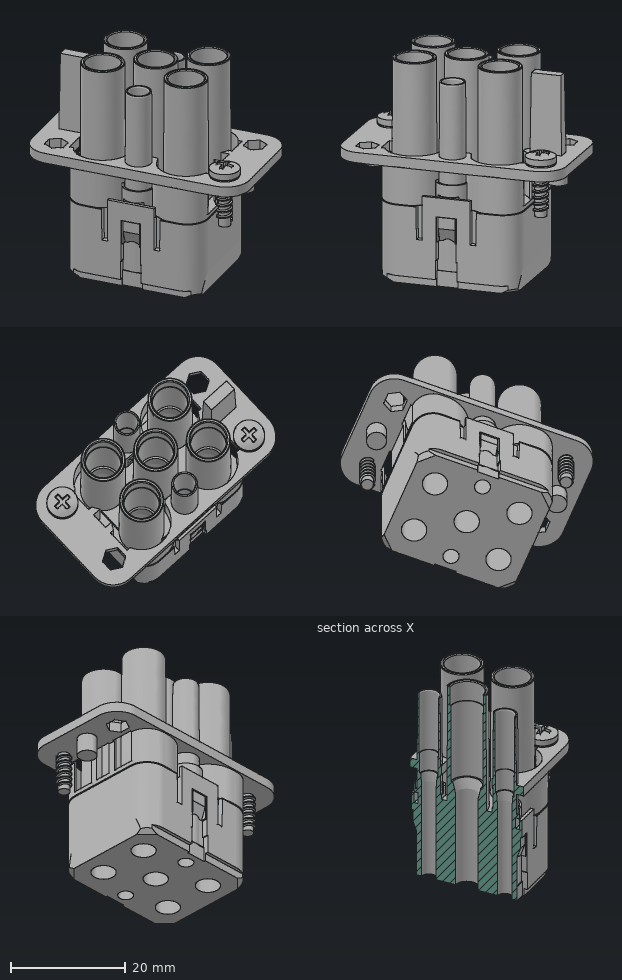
import cadquery as cq
import math

TOTAL_HEIGHT = 40.0
SEAM_Z = 14.55
CAVITY_FLOOR_Z = 15.4
PLATE_THICKNESS = 1.9
PLATE_TOP_Z = 23.4
PLATE_BOTTOM_Z = PLATE_TOP_Z - PLATE_THICKNESS

TUBE_X = 7.95
TUBE_Y = 4.95
PILOT_Y = 7.45

PLATE_LENGTH = 41.6
PLATE_WIDTH = 22.4
PLATE_CORNER_RADIUS = 9.0 / 2
OPENING_HALF_LENGTH = 13.35
OPENING_END_LENGTH = OPENING_HALF_LENGTH - TUBE_X
OPENING_END_X = (OPENING_HALF_LENGTH + TUBE_X) / 2
OPENING_WAIST_LENGTH = 21.4
OPENING_WAIST_WIDTH = 2 * TUBE_Y
LOBE_RADIUS = 5.15
END_NOTCH_WIDTH = 3.08
OPENING_FILLET = 0.85

TUBE_FOOT_RADIUS = 3.95
TUBE_TOP_RADIUS = 3.85
TUBE_ENTRY_RADIUS = 3.4
TUBE_ENTRY_HEIGHT = 0.15
TUBE_RIM_HEIGHT = 0.15
TUBE_RIM_INSET = 0.12
TUBE_BORE_RADIUS = 6.4 / 2
TUBE_STEP_RADIUS = 6.2 / 2
TUBE_SEAT_RADIUS = 5.5 / 2
TUBE_HOLE_RADIUS = 4.4 / 2
TUBE_STEP_Z = 36.03
TUBE_SEAT_Z = 20.8
TUBE_HOLE_Z = 18.7

PILOT_TOP_Z = 37.02
PILOT_FOOT_RADIUS = 2.37
PILOT_TOP_RADIUS = 2.3
PILOT_ENTRY_RADIUS = 3.9 / 2
PILOT_ENTRY_HEIGHT = 0.35
PILOT_RIM_HEIGHT = 0.35
PILOT_RIM_INSET = 0.1
PILOT_BORE_RADIUS = 3.7 / 2
PILOT_STEP_RADIUS = 3.5 / 2
PILOT_SEAT_RADIUS = 3.1 / 2
PILOT_HOLE_RADIUS = 2.8 / 2
PILOT_STEP_Z = 24.95
CUP_RADIUS = 2.95
CUP_INNER_RADIUS = 2.6
CUP_TOP_Z = 18.85
CUP_FLOOR_Z = 17.47

HOUSING_LENGTH = 26.12
HOUSING_WIDTH = 21.8
HOUSING_CORNER_RADIUS = 4.0
CORE_INSET = 2.2
CORE_TOP_Z = 16.65
SEAM_GROOVE = 0.12
SHELL_RADIUS = HOUSING_WIDTH / 2 - TUBE_Y
CORE_CORNER_RADIUS = 3.33
WINDOW_INNER_Y = 2.83
WINDOW_OUTER_Y = 7.07
WINDOW_WIDTH = WINDOW_OUTER_Y - WINDOW_INNER_Y
WINDOW_MID_Y = (WINDOW_OUTER_Y + WINDOW_INNER_Y) / 2
END_BEVEL_HEIGHT = 3.95
END_BEVEL_INSET = 0.6
CORNER_BEVEL_HEIGHT = 0.8
CORNER_BEVEL_INSET = 1.0
FOOT_RECESS_LENGTH = 22.65
FOOT_RECESS_HEIGHT = 1.5
FOOT_RECESS_DEPTH = 0.62

LATCH_HALF_WIDTH = 4.45
LATCH_TOP_Z = 16.5
LATCH_THICKNESS = 0.62
LATCH_RELIEF_TOP_Z = 16.65
LATCH_RELIEF_DEPTH = 1.25
LATCH_SLOT_FLOOR_Z = 8.5
LATCH_SLOT_DEPTH = 1.05
LATCH_SLOT_FLOOR_WIDTH = 1.05
LATCH_SLOT_TOP_WIDTH = 1.15
CHANNEL_WIDTH = 3.65
CHANNEL_TOP_Z = 13.0
CHANNEL_RAMP_TOP_Z = 10.8
CHANNEL_RAMP_BOTTOM_Z = 8.4
CHANNEL_RIM_DEPTH = 0.15
CHANNEL_UPPER_WIDTH = 3.1
CHANNEL_UPPER_DEPTH = 0.25
CHANNEL_DEPTH = 1.12
CHANNEL_FOOT_WIDTH = 3.95
CHANNEL_FOOT_Z = 5.0
CHANNEL_PAD_Z = 2.9
RIB_HALF_WIDTH = 1.0
RIB_STAND_OUT = 0.15
RIB_RADIUS = (RIB_HALF_WIDTH**2 + RIB_STAND_OUT**2) / (2 * RIB_STAND_OUT)
CHANNEL_PAD_DEPTH = CHANNEL_DEPTH - RIB_STAND_OUT

BLADE_X = -15.05
BLADE_LENGTH = 5.82
BLADE_WIDTH = 2.4
BLADE_TOP_Z = 38.02
BLADE_DRAFT_DEGREES = 0.7
PIN_X = 16.97
PIN_RADIUS = 3.5 / 2
PIN_BOTTOM_Z = 17.95

SCREW_X = 16.05
SCREW_Y = 6.65
HEAD_RADIUS = 5.5 / 2
HEAD_COLLAR_RADIUS = 2.6
HEAD_BOTTOM_Z = 23.65
HEAD_RIM_Z = 24.88
HEAD_TOP_Z = 25.65
SHANK_RADIUS = 2.15 / 2
SHANK_BOTTOM_Z = 13.85
THREAD_RADIUS = 2.8 / 2
THREAD_BOTTOM_Z = 14.9
THREAD_PITCH = 1.12
THREAD_ROOT_WIDTH = 0.65
THREAD_CREST_WIDTH = 0.2
THREAD_ROOT_OVERLAP = 0.12
CROSS_LENGTH = 3.05
CROSS_WIDTH = 0.7
CROSS_DEPTH = 1.1
HEX_ACROSS_CORNERS = 4.15

ENDS = (-1, 1)
TUBE_PLACES = [(0, 0)] + [(x * TUBE_X, y * TUBE_Y) for x in ENDS for y in ENDS]
PILOT_PLACES = [(0, y * PILOT_Y) for y in ENDS]
WINDOW_MIDS_Y = [y * WINDOW_MID_Y for y in ENDS]


def block(length, width, bottom, top, x=0, y=0):
    """Upright box centred on (x, y) between two levels."""
    return cq.Workplane("XY", origin=(x, y, bottom)).rect(length, width).extrude(top - bottom)


def disc(radius, bottom, top, x=0, y=0):
    """Upright cylinder between two levels."""
    return cq.Workplane("XY", origin=(x, y, bottom)).circle(radius).extrude(top - bottom)


def turned(profile, x=0, y=0):
    """Solid of revolution about the vertical through (x, y) from (radius, level) points."""
    return cq.Workplane("XZ").polyline(profile).close().revolve().translate((x, y, 0))


def combined(solids):
    """Union of a list of solids."""
    whole = solids[0]
    for solid in solids[1:]:
        whole = whole.union(solid)
    return whole


def clover_opening(bottom, top):
    """Clover shaped space around the five contact tubes, with notches towards the ends."""
    waist = block(OPENING_WAIST_LENGTH, OPENING_WAIST_WIDTH, bottom, top)
    waist = waist.edges("|Z").fillet(OPENING_FILLET)
    lobes = [disc(LOBE_RADIUS, bottom, top, x, y) for x, y in TUBE_PLACES[1:]]
    end_slots = [
        block(OPENING_END_LENGTH, WINDOW_WIDTH, bottom, top, x * OPENING_END_X, y)
        for x in ENDS
        for y in WINDOW_MIDS_Y
    ]
    notch = block(OPENING_END_LENGTH, END_NOTCH_WIDTH, bottom, top, OPENING_END_X)
    opening = combined([waist, notch] + lobes + end_slots)
    inner_corners = opening.edges("|Z").filter(lambda edge: abs(edge.Center().x) < LOBE_RADIUS)
    return inner_corners.fillet(OPENING_FILLET)


def flange_plate():
    """Rounded plate with the clover opening and two hexagonal holes."""
    plate = block(PLATE_LENGTH, PLATE_WIDTH, PLATE_BOTTOM_Z, PLATE_TOP_Z)
    plate = plate.edges("|Z").fillet(PLATE_CORNER_RADIUS).cut(clover_opening(PLATE_BOTTOM_Z, PLATE_TOP_Z))
    hexagon = (
        cq.Workplane("XY", origin=(0, 0, PLATE_BOTTOM_Z))
        .polygon(6, HEX_ACROSS_CORNERS)
        .extrude(PLATE_THICKNESS)
        .rotate((0, 0, 0), (0, 0, 1), 90)
    )
    for end in ENDS:
        plate = plate.cut(hexagon.translate((end * SCREW_X, end * SCREW_Y, 0)))
    return plate


def rounded_housing(bottom, top, inset=0):
    """Housing outline, optionally drawn in by an inset, between two levels."""
    outline = block(HOUSING_LENGTH - 2 * inset, HOUSING_WIDTH - 2 * inset, bottom, top)
    return outline.edges("|Z").fillet(HOUSING_CORNER_RADIUS - inset)


def side_bay():
    """Recess between two rounded shells of the upper housing, on the -Y side."""
    front = -HOUSING_WIDTH / 2
    edge_x = TUBE_X - SHELL_RADIUS
    return (
        cq.Workplane("XY", origin=(0, 0, SEAM_Z))
        .moveTo(-TUBE_X, front)
        .radiusArc((-edge_x, -TUBE_Y), -SHELL_RADIUS)
        .lineTo(edge_x, -TUBE_Y)
        .radiusArc((TUBE_X, front), -SHELL_RADIUS)
        .close()
        .extrude(PLATE_BOTTOM_Z - SEAM_Z)
    )


def both_sides(solid):
    """A solid together with its mirror image across the XZ plane."""
    return solid.union(solid.mirror("XZ"))


def upper_housing():
    """Shells around the contact tubes and the core between them, from the seam to the plate."""
    shell = rounded_housing(SEAM_Z, PLATE_BOTTOM_Z).cut(clover_opening(CAVITY_FLOOR_Z, PLATE_BOTTOM_Z))
    core_length = HOUSING_LENGTH - 2 * CORE_INSET
    core_width = HOUSING_WIDTH - 2 * CORE_INSET
    core = block(core_length, core_width, CAVITY_FLOOR_Z, CORE_TOP_Z)
    core = core.edges("|Z").fillet(CORE_CORNER_RADIUS)
    return shell.union(core).cut(both_sides(side_bay()))


def bevel(reach, inset, height, degrees):
    """Wedge that bevels the bottom edge whose outward direction is at the given angle."""
    return (
        cq.Workplane("XZ")
        .polyline([(reach - inset, 0), (reach, height), (2 * reach, height), (2 * reach, 0)])
        .close()
        .extrude(HOUSING_LENGTH, both=True)
        .rotate((0, 0, 0), (0, 0, 1), degrees)
    )


def lower_housing():
    """Solid below the seam, with the seam groove, bottom bevels and foot recesses."""
    body = rounded_housing(0, SEAM_Z)
    groove_bottom = SEAM_Z - SEAM_GROOVE
    body = body.cut(rounded_housing(groove_bottom, SEAM_Z).cut(
        rounded_housing(groove_bottom, SEAM_Z, SEAM_GROOVE)
    ))
    for degrees in (0, 180):
        body = body.cut(bevel(HOUSING_LENGTH / 2, END_BEVEL_INSET, END_BEVEL_HEIGHT, degrees))
    corner_x = HOUSING_LENGTH / 2 - HOUSING_CORNER_RADIUS
    corner_y = HOUSING_WIDTH / 2 - HOUSING_CORNER_RADIUS
    corner_reach = (corner_x + corner_y) / math.sqrt(2) + HOUSING_CORNER_RADIUS
    for degrees in (45, 135, 225, 315):
        body = body.cut(bevel(corner_reach, CORNER_BEVEL_INSET, CORNER_BEVEL_HEIGHT, degrees))
    recess = block(
        FOOT_RECESS_LENGTH, FOOT_RECESS_DEPTH, 0, FOOT_RECESS_HEIGHT,
        y=-HOUSING_WIDTH / 2 + FOOT_RECESS_DEPTH / 2,
    )
    return body.cut(both_sides(recess))


def latch_tongue():
    """Tongue that rises above the seam on the -Y side."""
    y = -HOUSING_WIDTH / 2 + LATCH_THICKNESS / 2
    return block(2 * LATCH_HALF_WIDTH, LATCH_THICKNESS, SEAM_Z - SEAM_GROOVE, LATCH_TOP_Z, y=y)


def latch_relief():
    """Clearance behind the free end of the tongue, on the -Y side."""
    y = -HOUSING_WIDTH / 2 + LATCH_RELIEF_DEPTH / 2
    return block(2 * CUP_RADIUS, LATCH_RELIEF_DEPTH, SEAM_Z, LATCH_RELIEF_TOP_Z, y=y)


def latch_cutouts():
    """Two slots beside the latch and the stepped channel in its middle, on the -Y side."""
    front = -HOUSING_WIDTH / 2
    slot = (
        cq.Workplane("XZ", origin=(0, front, 0))
        .moveTo(LATCH_HALF_WIDTH, LATCH_SLOT_FLOOR_Z)
        .lineTo(LATCH_HALF_WIDTH + LATCH_SLOT_FLOOR_WIDTH, LATCH_SLOT_FLOOR_Z)
        .lineTo(LATCH_HALF_WIDTH + LATCH_SLOT_TOP_WIDTH, SEAM_Z)
        .lineTo(LATCH_HALF_WIDTH, SEAM_Z)
        .close()
        .extrude(-LATCH_SLOT_DEPTH)
    )
    upper_channel = (
        cq.Workplane("YZ")
        .polyline([
            (front, CHANNEL_RAMP_BOTTOM_Z),
            (front, CHANNEL_TOP_Z),
            (front + CHANNEL_UPPER_DEPTH, CHANNEL_TOP_Z),
            (front + CHANNEL_UPPER_DEPTH, CHANNEL_RAMP_TOP_Z),
            (front + CHANNEL_DEPTH, CHANNEL_RAMP_BOTTOM_Z),
        ])
        .close()
        .extrude(CHANNEL_UPPER_WIDTH / 2, both=True)
    )
    rim_y = front + CHANNEL_RIM_DEPTH / 2
    floor_y = front + CHANNEL_DEPTH / 2
    pad_y = front + CHANNEL_PAD_DEPTH / 2
    rim = block(CHANNEL_WIDTH, CHANNEL_RIM_DEPTH, CHANNEL_PAD_Z, CHANNEL_TOP_Z, y=rim_y)
    lower_channel = block(CHANNEL_WIDTH, CHANNEL_DEPTH, CHANNEL_PAD_Z, CHANNEL_RAMP_BOTTOM_Z, y=floor_y)
    foot = block(CHANNEL_FOOT_WIDTH, CHANNEL_DEPTH, CHANNEL_PAD_Z, CHANNEL_FOOT_Z, y=floor_y)
    pad = block(CHANNEL_FOOT_WIDTH, CHANNEL_PAD_DEPTH, 0, CHANNEL_PAD_Z, y=pad_y)
    rib_y = front + CHANNEL_DEPTH - RIB_STAND_OUT + RIB_RADIUS
    rib = disc(RIB_RADIUS, CHANNEL_PAD_Z, CHANNEL_TOP_Z, y=rib_y)
    channel = combined([upper_channel, lower_channel, rim, foot]).cut(rib)
    return combined([slot, slot.mirror("YZ"), channel, pad])


def contact_tube(x, y):
    """Slightly tapered tube with a bevelled rim."""
    return turned([
        (0, CAVITY_FLOOR_Z),
        (TUBE_FOOT_RADIUS, CAVITY_FLOOR_Z),
        (TUBE_TOP_RADIUS, TOTAL_HEIGHT - TUBE_RIM_HEIGHT),
        (TUBE_TOP_RADIUS - TUBE_RIM_INSET, TOTAL_HEIGHT),
        (0, TOTAL_HEIGHT),
    ], x, y)


def contact_bore(x, y):
    """Stepped hole right through a contact tube and the housing."""
    return turned([
        (0, 0),
        (TUBE_HOLE_RADIUS, 0),
        (TUBE_HOLE_RADIUS, TUBE_HOLE_Z),
        (TUBE_SEAT_RADIUS, TUBE_SEAT_Z),
        (TUBE_STEP_RADIUS, TUBE_SEAT_Z),
        (TUBE_STEP_RADIUS, TUBE_STEP_Z),
        (TUBE_BORE_RADIUS, TUBE_STEP_Z),
        (TUBE_BORE_RADIUS, TOTAL_HEIGHT - TUBE_ENTRY_HEIGHT),
        (TUBE_ENTRY_RADIUS, TOTAL_HEIGHT),
        (0, TOTAL_HEIGHT),
    ], x, y)


def pilot_tube(x, y):
    """Narrow tube standing in a cup that is trimmed flush with the plate opening."""
    tube = turned([
        (0, SEAM_Z),
        (CUP_RADIUS, SEAM_Z),
        (CUP_RADIUS, CUP_TOP_Z),
        (CUP_INNER_RADIUS, CUP_TOP_Z),
        (CUP_INNER_RADIUS, CUP_FLOOR_Z),
        (PILOT_FOOT_RADIUS, CUP_FLOOR_Z),
        (PILOT_FOOT_RADIUS, PLATE_TOP_Z),
        (PILOT_TOP_RADIUS, PILOT_TOP_Z - PILOT_RIM_HEIGHT),
        (PILOT_TOP_RADIUS - PILOT_RIM_INSET, PILOT_TOP_Z),
        (0, PILOT_TOP_Z),
    ], x, y)
    return tube.cut(block(2 * CUP_RADIUS, OPENING_WAIST_WIDTH, CORE_TOP_Z, PLATE_TOP_Z))


def pilot_bore(x, y):
    """Stepped hole right through a pilot tube and the housing."""
    return turned([
        (0, 0),
        (PILOT_HOLE_RADIUS, 0),
        (PILOT_HOLE_RADIUS, TUBE_HOLE_Z),
        (PILOT_SEAT_RADIUS, TUBE_SEAT_Z),
        (PILOT_STEP_RADIUS, TUBE_SEAT_Z),
        (PILOT_STEP_RADIUS, PILOT_STEP_Z),
        (PILOT_BORE_RADIUS, PILOT_STEP_Z),
        (PILOT_BORE_RADIUS, PILOT_TOP_Z - PILOT_ENTRY_HEIGHT),
        (PILOT_ENTRY_RADIUS, PILOT_TOP_Z),
        (0, PILOT_TOP_Z),
    ], x, y)


def key_blade():
    """Drafted blade standing on the -X end of the plate."""
    return (
        cq.Workplane("XY", origin=(BLADE_X, 0, PLATE_TOP_Z))
        .rect(BLADE_LENGTH, BLADE_WIDTH)
        .extrude(BLADE_TOP_Z - PLATE_TOP_Z, taper=BLADE_DRAFT_DEGREES)
    )


def screw_thread():
    """Trapezoidal ridge wound around the screw shank."""
    length = PLATE_BOTTOM_Z - THREAD_BOTTOM_Z
    root_radius = SHANK_RADIUS - THREAD_ROOT_OVERLAP
    helix = cq.Wire.makeHelix(THREAD_PITCH, length, SHANK_RADIUS)
    ridge = (
        cq.Workplane("XZ")
        .polyline([
            (root_radius, -THREAD_ROOT_WIDTH / 2),
            (THREAD_RADIUS, -THREAD_CREST_WIDTH / 2),
            (THREAD_RADIUS, THREAD_CREST_WIDTH / 2),
            (root_radius, THREAD_ROOT_WIDTH / 2),
        ])
        .close()
        .sweep(cq.Workplane(helix), isFrenet=True)
    )
    return ridge.translate((0, 0, THREAD_BOTTOM_Z))


def screw():
    """Cross recessed pan head screw on the Z axis."""
    dome_height = HEAD_TOP_Z - HEAD_RIM_Z
    dome_radius = (HEAD_RADIUS**2 + dome_height**2) / (2 * dome_height)
    head = (
        cq.Workplane("XZ")
        .moveTo(0, PLATE_TOP_Z)
        .lineTo(HEAD_COLLAR_RADIUS, PLATE_TOP_Z)
        .lineTo(HEAD_COLLAR_RADIUS, HEAD_BOTTOM_Z)
        .lineTo(HEAD_RADIUS, HEAD_BOTTOM_Z)
        .lineTo(HEAD_RADIUS, HEAD_RIM_Z)
        .radiusArc((0, HEAD_TOP_Z), -dome_radius)
        .close()
        .revolve()
    )
    for length, width in ((CROSS_LENGTH, CROSS_WIDTH), (CROSS_WIDTH, CROSS_LENGTH)):
        head = head.cut(block(length, width, HEAD_TOP_Z - CROSS_DEPTH, HEAD_TOP_Z))
    shank = disc(SHANK_RADIUS, SHANK_BOTTOM_Z, PLATE_TOP_Z)
    return head.union(shank).union(screw_thread())


lower_body = lower_housing().cut(both_sides(latch_cutouts()))
result = lower_body.union(upper_housing()).union(flange_plate())
for place in TUBE_PLACES:
    result = result.union(contact_tube(*place))
for place in PILOT_PLACES:
    result = result.union(pilot_tube(*place))
result = result.cut(both_sides(latch_relief())).union(both_sides(latch_tongue()))
for place in TUBE_PLACES:
    result = result.cut(contact_bore(*place))
for place in PILOT_PLACES:
    result = result.cut(pilot_bore(*place))
result = result.union(key_blade())
for side in ENDS:
    result = result.union(disc(PIN_RADIUS, PIN_BOTTOM_Z, PLATE_BOTTOM_Z, side * PIN_X))
    result = result.union(screw().translate((side * SCREW_X, -side * SCREW_Y, 0)))